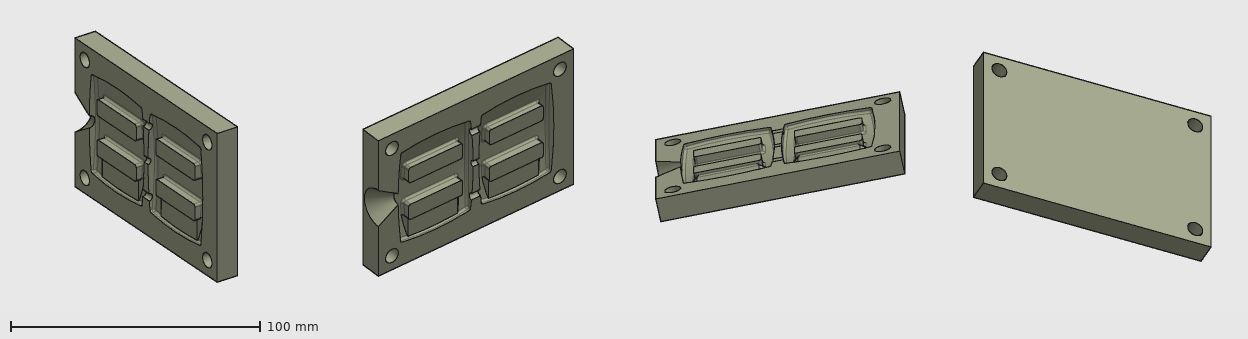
import cadquery as cq


plate_length = 100.0
plate_thickness = 10.0
plate_height = 67.5
hole_diameter = 6.5
hole_inset = 7.0

cavity_pitch = 41.3
cavity_half_width = 19.2
cavity_half_height = 23.7
corner_x = 17.8
corner_z = 22.2
corner_radius = 1.2
floor_depth_middle = 4.2
floor_depth_end = 1.7
floor_fillet = 1.1

bar_length = 27.6
bar_height = 7.5
bar_corner_radius = 1.0
bar_positions = (9.1, -9.2)
bar_fillet = 1.0

step_half_width = 12.7
step_depth = 1.8
step_side_slope = 1.2
step_fillet = 0.6

sprue_outer_radius = 9.0
sprue_inner_radius = 2.7
sprue_length = 10.2
runner_spacing = 16.0
outer_runner_radius = 1.6
middle_runner_radius = 1.4
runner_half_length = cavity_pitch / 2 - corner_x


def make_plate():
    """Plate with a through hole near each corner."""
    plate = cq.Workplane("XY").box(plate_length, plate_thickness, plate_height)
    plate = plate.translate((0, plate_thickness / 2, 0))
    holes = (
        cq.Workplane("XZ")
        .rect(plate_length - 2 * hole_inset, plate_height - 2 * hole_inset, forConstruction=True)
        .vertices()
        .circle(hole_diameter / 2)
        .extrude(-plate_thickness)
    )
    return plate.cut(holes)


def cavity_outline():
    """Barrel-shaped prism with four bowed sides and rounded corners."""
    return (
        cq.Workplane("XZ")
        .moveTo(-corner_x, -corner_z)
        .threePointArc((0, -cavity_half_height), (corner_x, -corner_z))
        .threePointArc((cavity_half_width, 0), (corner_x, corner_z))
        .threePointArc((0, cavity_half_height), (-corner_x, corner_z))
        .threePointArc((-cavity_half_width, 0), (-corner_x, -corner_z))
        .close()
        .extrude(-plate_thickness)
        .edges("|Y")
        .fillet(corner_radius)
    )


def floor_envelope():
    """Prism along X whose arched side is the cavity floor, deepest at mid height."""
    return (
        cq.Workplane("YZ")
        .moveTo(0, -cavity_half_height)
        .lineTo(floor_depth_end, -cavity_half_height)
        .threePointArc((floor_depth_middle, 0), (floor_depth_end, cavity_half_height))
        .lineTo(0, cavity_half_height)
        .close()
        .extrude(cavity_half_width, both=True)
    )


def bar(height_position):
    """Bar with rounded corners."""
    return (
        cq.Workplane("XZ")
        .center(0, height_position)
        .rect(bar_length, bar_height)
        .extrude(-plate_thickness)
        .edges("|Y")
        .fillet(bar_corner_radius)
    )


def step():
    """Flat step with sides that flare out towards the floor."""
    top = bar_positions[1] - bar_height / 2 + bar_corner_radius
    flare = step_side_slope * (floor_depth_middle - step_depth)
    return (
        cq.Workplane("XY", origin=(0, 0, top))
        .moveTo(-step_half_width, step_depth)
        .lineTo(step_half_width, step_depth)
        .lineTo(step_half_width + flare, floor_depth_middle)
        .lineTo(-step_half_width - flare, floor_depth_middle)
        .close()
        .extrude(-cavity_half_height - top)
    )


def make_cavity():
    """Solid of the space inside one cavity, centred on X = 0."""
    space = cavity_outline().intersect(floor_envelope())
    space = space.faces(">Y").edges().fillet(floor_fillet)
    for position in bar_positions:
        space = space.cut(bar(position))

    reach_x = bar_length / 2 + bar_fillet
    reach_z = max(abs(position) for position in bar_positions) + bar_height / 2 + bar_fillet
    bar_feet = cq.selectors.BoxSelector(
        (-reach_x, floor_depth_end, -reach_z), (reach_x, plate_thickness, reach_z)
    )
    space = space.edges(bar_feet).fillet(bar_fillet)

    space = space.cut(step())
    step_root = (0, step_depth, bar_positions[1] - bar_height / 2)
    return space.edges(cq.selectors.NearestToPointSelector(step_root)).fillet(step_fillet)


def make_sprue():
    """Cone that narrows from the -X side of the plate to the first cavity."""
    return (
        cq.Workplane("XY", origin=(-plate_length / 2, 0, 0))
        .lineTo(0, sprue_outer_radius)
        .lineTo(sprue_length, sprue_inner_radius)
        .lineTo(sprue_length, 0)
        .close()
        .revolve(360, (0, 0, 0), (1, 0, 0))
    )


def make_runner(height, radius):
    """Round channel along X that joins the two cavities."""
    return cq.Workplane("YZ").center(0, height).circle(radius).extrude(runner_half_length, both=True)


result = make_plate().cut(make_sprue())
cavity = make_cavity()
for side in (-1, 1):
    result = result.cut(cavity.translate((side * cavity_pitch / 2, 0, 0)))
result = result.cut(make_runner(0, middle_runner_radius))
for side in (-1, 1):
    result = result.cut(make_runner(side * runner_spacing, outer_runner_radius))